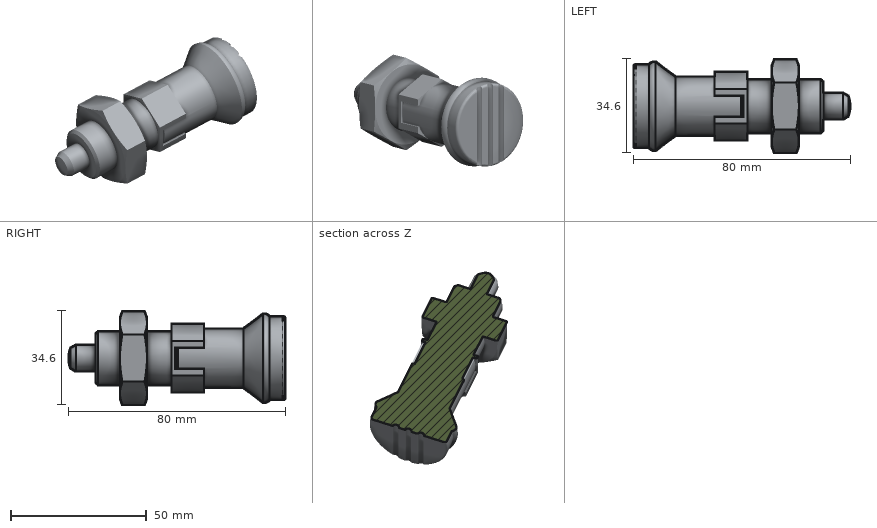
import cadquery as cq
import math


SHANK_START_Y = 10.0
NUT_START_Y = 19.0
NUT_END_Y = 29.0
GUIDE_HEX_START_Y = 38.0
GUIDE_HEX_END_Y = 50.0
FLARE_START_Y = 64.5
RIM_START_Y = 71.8
CAP_START_Y = 74.15
KNOB_END_Y = 80.0

PIN_RADIUS = 5.0
PIN_TAPER_ANGLE = 30.0
PIN_TAPER_LENGTH = 2.0
PIN_DOME_HEIGHT = 0.8

SHANK_RADIUS = 10.0
SHANK_CHAMFER = 1.0
NUT_ACROSS_FLATS = 30.0
NUT_FACE_RADIUS = 14.95
NUT_CORNER_CHAMFER = 0.9
GUIDE_ACROSS_FLATS = 22.0

SLOT_WIDTH = 8.0
SLOT_CLEARANCE = 0.25
SLOT_END_WALL = 1.4
SLOT_START_Y = GUIDE_HEX_START_Y + SLOT_END_WALL
SLOT_DEPTH = 1.5
TONGUE_CHAMFER = 0.75

NECK_RADIUS = 11.0
RIM_RADIUS = 16.5
RIM_ARC_RADIUS = 2.7
CAP_RADIUS = 15.5
CAP_FILLET = 1.0
GROOVE_RADIUS = 1.25
GROOVE_DEPTH = 1.0
GROOVE_PITCH = 5.0


def revolve_about_y(profile):
    """Turn a closed XY profile, drawn with X as the radius, about the Y axis."""
    return profile.close().revolve(360, (0, 0, 0), (0, 1, 0))


def cylinder(radius, start_y, end_y):
    return cq.Workplane("XZ", origin=(0, start_y, 0)).circle(radius).extrude(start_y - end_y)


def hexagon(across_flats, start_y, end_y):
    """Hexagonal prism along Y with two flats facing +X and -X."""
    corner_radius = across_flats / math.sqrt(3)
    corners = []
    for i in range(6):
        angle = math.radians(30 + 60 * i)
        corners.append((corner_radius * math.cos(angle), corner_radius * math.sin(angle)))
    plane = cq.Workplane("XZ", origin=(0, start_y, 0))
    return plane.polyline(corners).close().extrude(start_y - end_y)


def make_pin():
    tip_radius = PIN_RADIUS - PIN_TAPER_LENGTH * math.tan(math.radians(PIN_TAPER_ANGLE))
    taper_end_y = PIN_DOME_HEIGHT + PIN_TAPER_LENGTH
    dome_radius = (tip_radius**2 + PIN_DOME_HEIGHT**2) / (2 * PIN_DOME_HEIGHT)
    mid_radius = tip_radius / 2
    mid_y = dome_radius - math.sqrt(dome_radius**2 - mid_radius**2)
    profile = (
        cq.Workplane("XY")
        .moveTo(0, 0)
        .threePointArc((mid_radius, mid_y), (tip_radius, PIN_DOME_HEIGHT))
        .lineTo(PIN_RADIUS, taper_end_y)
        .lineTo(PIN_RADIUS, NUT_START_Y)
        .lineTo(0, NUT_START_Y)
    )
    return revolve_about_y(profile)


def make_shank():
    shank = cylinder(SHANK_RADIUS, SHANK_START_Y, GUIDE_HEX_END_Y)
    return shank.faces("<Y").chamfer(SHANK_CHAMFER)


def make_nut():
    """Hexagon nut with the corners of both faces turned to a shallow cone."""
    corner_radius = NUT_ACROSS_FLATS / math.sqrt(3)
    envelope = (
        cq.Workplane("XY")
        .moveTo(0, NUT_START_Y)
        .lineTo(NUT_FACE_RADIUS, NUT_START_Y)
        .lineTo(corner_radius, NUT_START_Y + NUT_CORNER_CHAMFER)
        .lineTo(corner_radius, NUT_END_Y - NUT_CORNER_CHAMFER)
        .lineTo(NUT_FACE_RADIUS, NUT_END_Y)
        .lineTo(0, NUT_END_Y)
    )
    return hexagon(NUT_ACROSS_FLATS, NUT_START_Y, NUT_END_Y).intersect(revolve_about_y(envelope))


def make_guide():
    """Hexagonal guide with a locking slot, open towards the knob, in the +X and -X flats."""
    guide = hexagon(GUIDE_ACROSS_FLATS, GUIDE_HEX_START_Y, GUIDE_HEX_END_Y)
    slot_length = GUIDE_HEX_END_Y - SLOT_START_Y
    slot_center_y = (GUIDE_HEX_END_Y + SLOT_START_Y) / 2
    slot_center_x = GUIDE_ACROSS_FLATS / 2 - SLOT_DEPTH / 2
    for side in (-1, 1):
        slot = cq.Workplane("XY").box(SLOT_DEPTH, slot_length, SLOT_WIDTH)
        guide = guide.cut(slot.translate((side * slot_center_x, slot_center_y, 0)))
    return guide


def make_tongues():
    """Strips of the knob sleeve that reach into both locking slots."""
    start_y = SLOT_START_Y + SLOT_CLEARANCE
    width = SLOT_WIDTH - 2 * SLOT_CLEARANCE
    length = FLARE_START_Y - start_y
    sleeve = cylinder(NECK_RADIUS, start_y, FLARE_START_Y).faces("<Y").chamfer(TONGUE_CHAMFER)
    strip = cq.Workplane("XY").box(2 * NECK_RADIUS, length, width)
    return sleeve.intersect(strip.translate((0, start_y + length / 2, 0)))


def make_knob():
    """Neck, flared rim and end cap of the pull knob."""
    arc_center_radius = RIM_RADIUS - RIM_ARC_RADIUS
    arc_end_angle = math.acos((CAP_RADIUS - arc_center_radius) / RIM_ARC_RADIUS)
    arc_start_y = CAP_START_Y - RIM_ARC_RADIUS * math.sin(arc_end_angle)
    arc_mid_radius = arc_center_radius + RIM_ARC_RADIUS * math.cos(arc_end_angle / 2)
    arc_mid_y = arc_start_y + RIM_ARC_RADIUS * math.sin(arc_end_angle / 2)
    profile = (
        cq.Workplane("XY")
        .moveTo(0, GUIDE_HEX_END_Y)
        .lineTo(NECK_RADIUS, GUIDE_HEX_END_Y)
        .lineTo(NECK_RADIUS, FLARE_START_Y)
        .lineTo(RIM_RADIUS, RIM_START_Y)
        .lineTo(RIM_RADIUS, arc_start_y)
        .threePointArc((arc_mid_radius, arc_mid_y), (CAP_RADIUS, CAP_START_Y))
        .lineTo(CAP_RADIUS, KNOB_END_Y)
        .lineTo(0, KNOB_END_Y)
    )
    return revolve_about_y(profile).faces(">Y").edges().fillet(CAP_FILLET)


def cut_cap_grooves(knob):
    """Three round-bottomed grooves running along Z across the end of the cap."""
    center_y = KNOB_END_Y - GROOVE_DEPTH + GROOVE_RADIUS
    for offset in (-GROOVE_PITCH, 0, GROOVE_PITCH):
        groove = cq.Workplane("XY").center(offset, center_y).circle(GROOVE_RADIUS)
        knob = knob.cut(groove.extrude(CAP_RADIUS, both=True))
    return knob


result = (
    cut_cap_grooves(make_knob())
    .union(make_guide())
    .union(make_tongues())
    .union(make_shank())
    .union(make_nut())
    .union(make_pin())
)